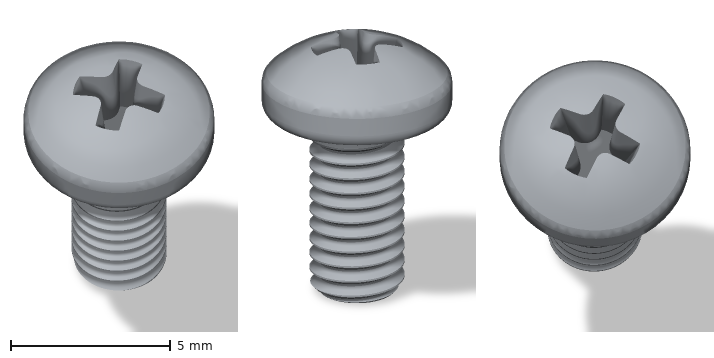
import cadquery as cq
import math

head_diameter = 6.0
head_radius = head_diameter / 2
shank_length = 6.0

dome_radius = 4.22
dome_apex = 2.5
head_edge_radius = 0.455

recess_floor = 0.51
arm_half_width = 0.21
corner_radius = 0.51
wall_taper = 5.7
arm_end_floor_radius = 0.94
arm_end_top_radius = 1.44
arm_end_top_height = 2.245

thread_diameter = 3.0
thread_radius = thread_diameter / 2
root_radius = 1.18
turns = 12
pitch = shank_length / turns
crest_width = 0.06
flank_angle = 30.0
crest_height = 0.39
spare_turns = 2
root_overlap = 0.025
envelope_clearance = 0.085
head_overlap = 0.085


def make_head():
    rim = dome_apex - dome_radius + math.sqrt(dome_radius**2 - head_radius**2)
    arc_mid = dome_radius * math.sin(math.asin(head_radius / dome_radius) / 2)
    arc_mid_z = dome_apex - dome_radius + math.sqrt(dome_radius**2 - arc_mid**2)
    blank = (
        cq.Workplane("XZ")
        .lineTo(head_radius, 0)
        .lineTo(head_radius, rim)
        .threePointArc((arc_mid, arc_mid_z), (0, dome_apex))
        .close()
        .revolve(360, (0, 0), (0, 1))
    )
    rim_edges = cq.selectors.RadiusNthSelector(0)
    return blank.edges(rim_edges).fillet(head_edge_radius)


def make_recess():
    height = dome_apex - recess_floor
    arm_reach = 2 * arm_end_top_radius
    cross = (
        cq.Sketch()
        .rect(2 * arm_reach, 2 * arm_half_width)
        .rect(2 * arm_half_width, 2 * arm_reach)
        .clean()
    )
    inner = 2 * arm_half_width
    cross = (
        cross.vertices(cq.selectors.BoxSelector((-inner, -inner, -0.085), (inner, inner, 0.085)))
        .fillet(corner_radius)
        .reset()
    )
    walls = (
        cq.Workplane("XY", origin=(0, 0, recess_floor))
        .placeSketch(cross)
        .extrude(height, taper=-wall_taper)
    )
    end_slope = (arm_end_top_radius - arm_end_floor_radius) / (arm_end_top_height - recess_floor)
    ends = cq.Workplane(
        cq.Solid.makeCone(
            arm_end_floor_radius,
            arm_end_floor_radius + end_slope * height,
            height,
            pnt=cq.Vector(0, 0, recess_floor),
        )
    )
    return walls.intersect(ends)


def make_shank():
    tip = -shank_length
    core = (
        cq.Workplane("XY", origin=(0, 0, tip))
        .circle(root_radius)
        .extrude(shank_length + head_overlap)
    )

    start = tip + crest_height - spare_turns * pitch
    helix_height = (turns + 2 * spare_turns) * pitch
    helix = cq.Wire.makeHelix(pitch, helix_height, thread_radius, cq.Vector(0, 0, start))
    base_radius = root_radius - root_overlap
    crest_half = crest_width / 2
    base_half = crest_half + (thread_radius - base_radius) * math.tan(math.radians(flank_angle))
    ridge = (
        cq.Workplane("XZ")
        .polyline([
            (base_radius, start - base_half),
            (thread_radius, start - crest_half),
            (thread_radius, start + crest_half),
            (base_radius, start + base_half),
        ])
        .close()
        .sweep(cq.Workplane(helix), isFrenet=True)
    )

    envelope_radius = thread_radius + envelope_clearance
    envelope = (
        cq.Workplane("XY", origin=(0, 0, tip))
        .circle(envelope_radius)
        .extrude(shank_length + head_overlap)
        .faces("<Z")
        .chamfer(envelope_radius - root_radius)
    )
    return core.union(ridge.intersect(envelope))


result = make_head().cut(make_recess()).union(make_shank())